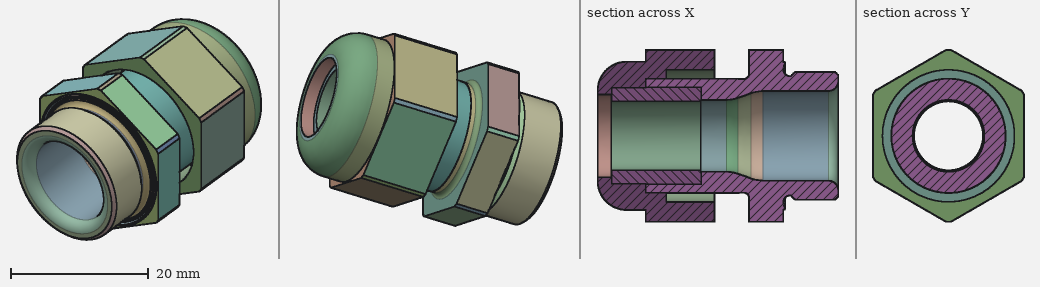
import cadquery as cq
import math


total_length = 35.0
across_flats = 22.0
across_corners = 25.0

thread_radius = 9.3
thread_chamfer = 0.5
groove_radius = 8.68
groove_start = 6.93
groove_end = 7.13
thread_runout = thread_radius - groove_radius
body_hex_start = 8.0
body_hex_length = 5.0
body_hex_end = body_hex_start + body_hex_length
groove_fillet = 1.0
groove_fillet_end = 7.33
neck_radius = 8.28
neck_fillet = 0.75
neck_length = 1.45
neck_end = body_hex_end + neck_length
clamp_thread_radius = 8.33
body_end = 28.0

tooth_tip_y = 7.73
outer_tooth_radius = 10.75
outer_tooth_tip_radius = 10.5
outer_tooth_root_radius = 10.2
outer_tooth_side = 0.2
tooth_gap_depth = 0.17
inner_tooth_radius = 10.1
inner_tooth_side = 0.18
inner_tooth_tip_radius = 9.87
inner_tooth_bore_radius = 9.8

entry_radius = 6.5
entry_round = 1.5
throat_radius = 5.2
taper_start = 11.0
taper_angle = math.radians(20)
taper_round = 5.0
insert_seat_y = 20.0
insert_radius = 7.0

cable_radius = 5.0
insert_end = 33.0

nut_hex_start = 18.0
nut_hex_length = 10.0
dome_radius = 10.8
dome_round = 4.25
nut_opening_radius = 6.0
nut_recess_radius = 9.6
nut_recess_depth = 7.0


def revolve_about_y(profile):
    """Full turn about Y of a closed profile drawn on the -X side."""
    return profile.close().revolve(360, (0, 0, 0), (0, 1, 0))


def at(radius, y):
    """Profile point on the -X side of the axis."""
    return (-radius, y)


def hexagon(start, length):
    """Hexagonal prism along Y with flats facing +X and -X and turned-down corners."""
    sharp_corners = across_flats / math.cos(math.pi / 6)
    plane = cq.Workplane("XZ", origin=(0, start, 0))
    prism = plane.transformed(rotate=(0, 0, 30)).polygon(6, sharp_corners).extrude(-length)
    return prism.intersect(plane.circle(across_corners / 2).extrude(-length))


def body_envelope():
    """Solid outside of the body without its hexagon."""
    fillet_center_radius = groove_radius + groove_fillet
    fillet_center_y = body_hex_start - groove_fillet
    fillet_end_angle = math.asin((groove_fillet_end - fillet_center_y) / groove_fillet)
    fillet_mid_angle = (fillet_end_angle + math.pi / 2) / 2
    neck_fillet_depth = neck_fillet * (1 - math.sqrt(0.5))
    profile = (
        cq.Workplane("XY")
        .moveTo(*at(0, 0))
        .lineTo(*at(thread_radius - thread_chamfer, 0))
        .lineTo(*at(thread_radius, thread_chamfer))
        .lineTo(*at(thread_radius, groove_start - thread_runout))
        .lineTo(*at(groove_radius, groove_start))
        .lineTo(*at(groove_radius, groove_end))
        .lineTo(*at(fillet_center_radius - groove_fillet * math.cos(fillet_end_angle), groove_fillet_end))
        .threePointArc(
            at(
                fillet_center_radius - groove_fillet * math.cos(fillet_mid_angle),
                fillet_center_y + groove_fillet * math.sin(fillet_mid_angle),
            ),
            at(fillet_center_radius, body_hex_start),
        )
        .lineTo(*at(inner_tooth_bore_radius, body_hex_start))
        .lineTo(*at(inner_tooth_bore_radius, tooth_tip_y))
        .lineTo(*at(inner_tooth_tip_radius, tooth_tip_y))
        .lineTo(*at(inner_tooth_radius, body_hex_start - inner_tooth_side))
        .lineTo(*at(inner_tooth_radius, tooth_tip_y + tooth_gap_depth))
        .lineTo(*at(outer_tooth_root_radius, tooth_tip_y + tooth_gap_depth))
        .lineTo(*at(outer_tooth_tip_radius, tooth_tip_y))
        .lineTo(*at(outer_tooth_radius, body_hex_start - outer_tooth_side))
        .lineTo(*at(outer_tooth_radius, body_hex_end))
        .lineTo(*at(neck_radius + neck_fillet, body_hex_end))
        .threePointArc(
            at(neck_radius + neck_fillet_depth, body_hex_end + neck_fillet_depth),
            at(neck_radius, body_hex_end + neck_fillet),
        )
        .lineTo(*at(neck_radius, neck_end))
        .lineTo(*at(clamp_thread_radius, neck_end))
        .lineTo(*at(clamp_thread_radius, body_end))
        .lineTo(*at(0, body_end))
    )
    return revolve_about_y(profile)


def body_bore():
    """Rounded entry, tapered throat and the seat of the clamping insert."""
    entry_mid = entry_round * (1 - math.sqrt(0.5))
    arc_drop = taper_round * (1 - math.cos(taper_angle))
    arc_length = taper_round * math.sin(taper_angle)
    mid_drop = taper_round * (1 - math.cos(taper_angle / 2))
    mid_length = taper_round * math.sin(taper_angle / 2)
    cone_length = (entry_radius - throat_radius - 2 * arc_drop) / math.tan(taper_angle)
    cone_end = taper_start + arc_length + cone_length
    throat_start = cone_end + arc_length
    profile = (
        cq.Workplane("XY")
        .moveTo(*at(0, 0))
        .lineTo(*at(entry_radius + entry_round, 0))
        .threePointArc(at(entry_radius + entry_mid, entry_mid), at(entry_radius, entry_round))
        .lineTo(*at(entry_radius, taper_start))
        .threePointArc(
            at(entry_radius - mid_drop, taper_start + mid_length),
            at(entry_radius - arc_drop, taper_start + arc_length),
        )
        .lineTo(*at(throat_radius + arc_drop, cone_end))
        .threePointArc(
            at(throat_radius + mid_drop, throat_start - mid_length),
            at(throat_radius, throat_start),
        )
        .lineTo(*at(throat_radius, insert_seat_y))
        .lineTo(*at(insert_radius, insert_seat_y))
        .lineTo(*at(insert_radius, body_end))
        .lineTo(*at(0, body_end))
    )
    return revolve_about_y(profile)


def make_body():
    return body_envelope().union(hexagon(body_hex_start, body_hex_length)).cut(body_bore())


def make_insert():
    """Plain sleeve around the cable."""
    ring = cq.Workplane("XZ", origin=(0, insert_seat_y, 0)).circle(insert_radius).circle(cable_radius)
    return ring.extrude(-(insert_end - insert_seat_y))


def nut_dome():
    """Solid round end of the nut, from the start of its hexagon to the rounded crown."""
    round_mid = dome_round * (1 - math.sqrt(0.5))
    profile = (
        cq.Workplane("XY")
        .moveTo(*at(0, nut_hex_start))
        .lineTo(*at(dome_radius, nut_hex_start))
        .lineTo(*at(dome_radius, total_length - dome_round))
        .threePointArc(
            at(dome_radius - round_mid, total_length - round_mid),
            at(dome_radius - dome_round, total_length),
        )
        .lineTo(*at(0, total_length))
    )
    return revolve_about_y(profile)


def nut_bore():
    """Entry recess, thread bore, insert bore and cable opening."""
    profile = (
        cq.Workplane("XY")
        .moveTo(*at(0, nut_hex_start))
        .lineTo(*at(nut_recess_radius, nut_hex_start))
        .lineTo(*at(nut_recess_radius, nut_hex_start + nut_recess_depth))
        .lineTo(*at(clamp_thread_radius, nut_hex_start + nut_recess_depth))
        .lineTo(*at(clamp_thread_radius, body_end))
        .lineTo(*at(insert_radius, body_end))
        .lineTo(*at(insert_radius, insert_end))
        .lineTo(*at(nut_opening_radius, insert_end))
        .lineTo(*at(nut_opening_radius, total_length))
        .lineTo(*at(0, total_length))
    )
    return revolve_about_y(profile)


def make_nut():
    return nut_dome().union(hexagon(nut_hex_start, nut_hex_length)).cut(nut_bore())


body = make_body()
insert = make_insert()
nut = make_nut()

result = cq.Compound.makeCompound([body.val(), insert.val(), nut.val()])